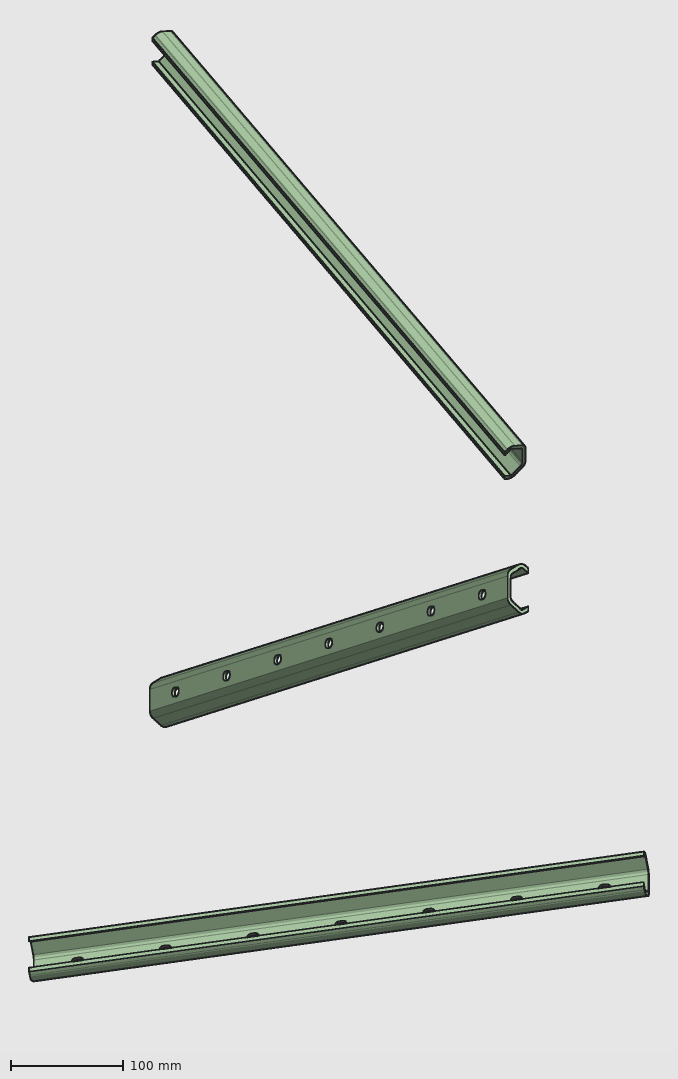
import cadquery as cq
import math

length = 560.0
depth = 22.5
height = 45.5
web_thickness = 3.5
flange_thickness = 4.0

flange_angle = 33.0
lip_angle = 33.0
inner_bend_radius = 5.0
outer_bend_radius = 7.0
crest_radius = 7.0
crest_distance = 15.5

slot_count = 7
slot_pitch = length / slot_count
slot_length = 10.5
slot_width = 8.5

back_y = depth / 2
lip_y = -depth / 2
crest_y = back_y - crest_distance
flange_slope = math.tan(math.radians(flange_angle))
lip_slope = math.tan(math.radians(lip_angle))


def crest_corner_height():
    """Height of the sharp outer corner whose rounded crest reaches half the rail height."""
    half_turn = math.radians(flange_angle + lip_angle) / 2
    lean = math.radians(lip_angle - flange_angle) / 2
    center_drop = crest_radius / math.cos(half_turn) * math.cos(lean)
    return height / 2 + center_drop - crest_radius


def half_outline(web_inset, inset):
    """Upper web, crest and lip corners of a sheet face set in from the outer face."""
    flange_drop = inset / math.cos(math.radians(flange_angle))
    lip_drop = inset / math.cos(math.radians(lip_angle))
    top_y = crest_y + (flange_drop - lip_drop) / (flange_slope + lip_slope)
    top_z = crest_corner_height() - lip_drop - (crest_y - top_y) * lip_slope
    web_y = back_y - web_inset
    web_z = top_z - (web_y - top_y) * flange_slope
    lip_z = top_z - (top_y - lip_y) * lip_slope
    return [(web_y, web_z), (top_y, top_z), (lip_y, lip_z)]


def mirrored(points):
    return [(y, -z) for y, z in points]


def round_corners(body, corners, radius):
    """Round the lengthwise edges that pass through the given (Y, Z) corners."""
    for y, z in corners:
        edge = cq.selectors.NearestToPointSelector((length / 2, y, z))
        body = body.edges("|X").edges(edge).fillet(radius)
    return body


def make_channel():
    outer = half_outline(0, 0)
    inner = half_outline(web_thickness, flange_thickness)
    outline = outer[::-1] + mirrored(outer) + mirrored(inner)[::-1] + inner
    body = cq.Workplane("YZ").polyline(outline).close().extrude(length)

    def round_pair(solid, corner, radius):
        return round_corners(solid, [corner] + mirrored([corner]), radius)

    outer_web, outer_crest, _ = outer
    inner_web = inner[0]
    body = round_pair(body, outer_web, outer_bend_radius)
    body = round_pair(body, inner_web, inner_bend_radius)
    return round_pair(body, outer_crest, crest_radius)


def make_slots():
    return (
        cq.Workplane("XZ", origin=(length / 2, back_y, 0))
        .rarray(slot_pitch, 5.5, slot_count, 1)
        .slot2D(slot_length, slot_width)
        .extrude(web_thickness)
    )


result = make_channel().cut(make_slots())